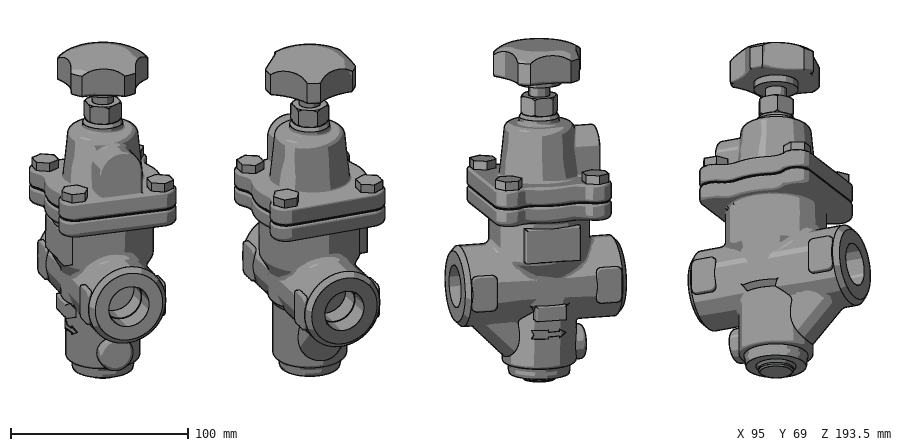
import cadquery as cq
import math


PIPE_R = 23.0
PIPE_LEFT = -49.5
PIPE_RIGHT = 45.5
PIPE_CHAMFER = 2.9
PORT_R = 12.0
PORT_STRAIGHT = 12.8
PORT_INNER_R = 11.6
PORT_DEPTH = 25.2

PAD_FACE_Y = 23.2
PAD_LENGTH = 15.0
PAD_HEIGHT = 20.5
PAD_END_GAP = 3.3
PAD_CORNER_R = 3.0
PAD_EDGE_R = 1.0

UPPER_R = 57.0 / 2
NECK_R = 23.6
LOWER_R = 42.0 / 2
UPPER_BOTTOM_Z = 15.9
NECK_TOP_Z = 7.5
NECK_BOTTOM_Z = -9.7
LOWER_TOP_Z = -13.0
BODY_BOTTOM_Z = -47.0
BODY_BOTTOM_R = 2.0
UPPER_BLEND_R = 3.3
LOWER_BLEND_R = 1.5
CONE_BLEND_R = 3.9
BODY_FLARE_R = 1.7

SEAM_TOP_Z = 5.6
SEAM_BOTTOM_Z = -17.5

CAP_R = 35.0 / 2
CAP_TAPER_Z = -51.5
CAP_BOTTOM_Z = -53.5
CAP_BOTTOM_R = 17.0
CAP_NECK_R = 18.2
CAP_NECK_Z = -49.3
PLUG_R = 22.6 / 2
PLUG_MID_R = 20.0 / 2
PLUG_END_R = 9.0
PLUG_CONE_Z = -55.0
PLUG_CHAMFER_Z = -56.0
BOTTOM_Z = -56.9

BRANCH_R = 14.0
BRANCH_AXIS_SUM = -43.7
BRANCH_START_X = -32.9
BRANCH_END_X = -8.7
BRANCH_BLEND_R = 3.9

DRAIN_R = 20.0 / 2
DRAIN_Z = -37.0
DRAIN_END_X = 25.5
DRAIN_EDGE_R = 2.3

BOLT_OFFSET = 25.5
CORNER_R = 18.0 / 2
WAIST_R = 32.9
HOLLOW_R = 10.6
LOWER_FLANGE_BOTTOM_Z = 40.6
LOWER_FLANGE_TOP_Z = 50.7
UPPER_FLANGE_BOTTOM_Z = 51.3
UPPER_FLANGE_TOP_Z = 61.7
FLANGE_OUTER_EDGE = 3.0
FLANGE_JOINT_EDGE = 1.7
FLANGE_TOP_EDGE = 1.5
GASKET_INSET = 1.0
BOLT_ACROSS_FLATS = 13.4
BOLT_HEAD_HEIGHT = 5.0

BONNET_BASE_R = 22.6
BONNET_TOP_R = 19.5
BONNET_TOP_Z = 92.0
BONNET_TOP_EDGE = 3.9
BONNET_FOOT_R = 1.5

OUTLET_R = 25.0 / 2
OUTLET_Z = 75.9
OUTLET_END_X = 32.5
OUTLET_EDGE_R = 1.2
OUTLET_FOOT_R = 1.5

COLLAR_R = 22.6 / 2
COLLAR_TOP_R = 20.0 / 2
COLLAR_STRAIGHT_Z = 95.4
COLLAR_FOOT_R = 1.5
NUT_BOTTOM_Z = 97.5
NUT_TOP_Z = 108.0
NUT_ACROSS_FLATS = 18.8
NUT_CHAMFER = 1.0
STEM_R = 6.0
HUB_DIAMETER = 25.0
HUB_BOTTOM_Z = 115.0

KNOB_R = 26.0
KNOB_BOTTOM_Z = 119.0
KNOB_RIM_Z = 132.0
KNOB_TOP_Z = 136.6
KNOB_FLAT_R = 29.6 / 2
KNOB_BOTTOM_EDGE = 1.5
KNOB_LOBES = 5
SCALLOP_R = 32.7
SCALLOP_MIN_R = 20.7

PLATE_WIDTH = 32.1
PLATE_BOTTOM_Z = 17.5
PLATE_TOP_Z = 37.0
PLATE_FACE_Y = -28.8
PLATE_BACK_Y = -21.3
BLOCK_WIDTH = 17.8
BLOCK_BOTTOM_Z = -17.6
BLOCK_TOP_Z = -9.0
BLOCK_FACE_Y = -25.0
BLOCK_BACK_Y = -17.5
PLATE_EDGE_R = 1.0
ARROW_Z = -26.5
ARROW_TAIL_X = -10.0
ARROW_NOTCH_X = -8.9
ARROW_SHAFT_X = -0.8
ARROW_HEAD_X = 5.8
ARROW_TIP_X = 10.0
ARROW_WIDE = 2.5
ARROW_NARROW = 1.4
ARROW_R = 42.8 / 2

FREE_CURVES = "not (%CIRCLE or %LINE)"


def revolved(points):
    """Solid of revolution about Z from an (r, z) outline closed along the axis."""
    first_z = points[0][1]
    last_z = points[-1][1]
    outline = [(0, first_z)] + points + [(0, last_z)]
    return cq.Workplane("XZ").polyline(outline).close().revolve(360, (0, 0), (0, 1))


def cylinder_z(radius, bottom, top):
    return cq.Workplane("XY").workplane(offset=bottom).circle(radius).extrude(top - bottom)


def cylinder_x(radius, start, end, z=0.0):
    return cq.Workplane("YZ", origin=(start, 0, z)).circle(radius).extrude(end - start)


def ring_edges(solid, z):
    """Full circles centered on the vertical axis at level z."""
    margin = 0.1
    return solid.edges(cq.selectors.BoxSelector((-margin, -margin, z - margin), (margin, margin, z + margin)))


def box_between(x_min, x_max, y_min, y_max, z_min, z_max):
    size = (x_max - x_min, y_max - y_min, z_max - z_min)
    return cq.Workplane("XY").box(*size, centered=False).translate((x_min, y_min, z_min))


def make_pipe():
    pipe = cylinder_x(PIPE_R, PIPE_LEFT, PIPE_RIGHT)
    return pipe.faces("<X or >X").edges().chamfer(PIPE_CHAMFER)


def make_main_casting():
    body = revolved([
        (LOWER_R, BODY_BOTTOM_Z),
        (LOWER_R, LOWER_TOP_Z),
        (NECK_R, NECK_BOTTOM_Z),
        (NECK_R, NECK_TOP_Z),
        (UPPER_R, UPPER_BOTTOM_Z),
        (UPPER_R, LOWER_FLANGE_BOTTOM_Z),
    ])
    body = body.faces("<Z").edges().fillet(BODY_BOTTOM_R)
    for z in (UPPER_BOTTOM_Z, NECK_TOP_Z):
        body = ring_edges(body, z).fillet(CONE_BLEND_R)
    casting = body.union(make_pipe())
    lower_zone = cq.selectors.BoxSelector(
        (0, -PIPE_R, BODY_BOTTOM_Z),
        (PIPE_RIGHT, PIPE_R, SEAM_BOTTOM_Z),
    )
    casting = casting.edges(FREE_CURVES).edges(lower_zone).fillet(LOWER_BLEND_R)
    upper_zone = cq.selectors.BoxSelector(
        (PIPE_LEFT, -UPPER_R, SEAM_TOP_Z),
        (PIPE_RIGHT, UPPER_R, LOWER_FLANGE_BOTTOM_Z),
    )
    return casting.edges(FREE_CURVES).edges(upper_zone).fillet(UPPER_BLEND_R)


def make_branch():
    """Part of the branch outside the pipe, with its blend into the pipe surface."""
    start = (BRANCH_START_X, 0, BRANCH_AXIS_SUM - BRANCH_START_X)
    length = (BRANCH_END_X - BRANCH_START_X) * math.sqrt(2)
    axis = cq.Plane(origin=start, xDir=(0, 1, 0), normal=(1, 0, -1))
    branch = cq.Workplane(axis).circle(BRANCH_R).extrude(length)
    joined = make_pipe().union(branch)
    blended = joined.edges(FREE_CURVES).fillet(BRANCH_BLEND_R)
    return blended.cut(cylinder_x(PIPE_R, PIPE_LEFT, PIPE_RIGHT))


def make_bottom_cap():
    return revolved([
        (CAP_NECK_R, BODY_BOTTOM_Z),
        (CAP_R, CAP_NECK_Z),
        (CAP_R, CAP_TAPER_Z),
        (CAP_BOTTOM_R, CAP_BOTTOM_Z),
        (PLUG_R, CAP_BOTTOM_Z),
        (PLUG_MID_R, PLUG_CONE_Z),
        (PLUG_MID_R, PLUG_CHAMFER_Z),
        (PLUG_END_R, BOTTOM_Z),
    ])


def make_drain_boss():
    boss = cylinder_x(DRAIN_R, 0, DRAIN_END_X, DRAIN_Z)
    return boss.faces(">X").edges().fillet(DRAIN_EDGE_R)


def make_pads():
    pads = cq.Workplane("XY")
    left_center = PIPE_LEFT + PAD_END_GAP + PAD_LENGTH / 2
    right_center = PIPE_RIGHT - PAD_END_GAP - PAD_LENGTH / 2
    for x in (left_center, right_center):
        bar = cq.Workplane("XY").box(PAD_LENGTH, 2 * PAD_FACE_Y, PAD_HEIGHT).translate((x, 0, 0))
        bar = bar.edges("|Y").fillet(PAD_CORNER_R)
        pads = pads.add(bar.faces("<Y or >Y").edges().fillet(PAD_EDGE_R))
    return pads.combine()


def make_port(end_x, inward):
    outer = cylinder_x(PORT_R, end_x, end_x + inward * PORT_STRAIGHT)
    return outer.union(cylinder_x(PORT_INNER_R, end_x, end_x + inward * PORT_DEPTH))


def make_plate(width, face_y, back_y, bottom, top):
    plate = box_between(-width / 2, width / 2, face_y, back_y, bottom, top)
    front_edges = plate.faces("<Y").edges("|Z or >Z")
    return front_edges.fillet(PLATE_EDGE_R)


def make_arrow():
    upper = [
        (ARROW_TAIL_X, ARROW_WIDE),
        (ARROW_SHAFT_X, ARROW_WIDE),
        (ARROW_SHAFT_X, ARROW_NARROW),
        (ARROW_HEAD_X, ARROW_NARROW),
        (ARROW_HEAD_X, ARROW_WIDE),
    ]
    lower = [(x, -z) for x, z in reversed(upper)]
    outline = upper + [(ARROW_TIP_X, 0)] + lower + [(ARROW_NOTCH_X, 0)]
    prism = cq.Workplane("XZ", origin=(0, 0, ARROW_Z)).polyline(outline).close().extrude(ARROW_R)
    ring = cylinder_z(ARROW_R, ARROW_Z - ARROW_WIDE, ARROW_Z + ARROW_WIDE)
    return prism.intersect(ring)


def hollow_center():
    """Center of the hollow arc that touches both the waist and the corner circle at +X +Y."""
    from_axis = WAIST_R + HOLLOW_R
    from_bolt = CORNER_R + HOLLOW_R
    bolt_distance = BOLT_OFFSET * math.sqrt(2)
    cosine = (from_axis**2 + bolt_distance**2 - from_bolt**2) / (2 * from_axis * bolt_distance)
    angle = math.radians(45) + math.acos(cosine)
    return from_axis * math.cos(angle), from_axis * math.sin(angle)


def flange_arc_points():
    """Tangent point on the waist, tangent point on the corner, and middle of the hollow between them."""
    hx, hy = hollow_center()
    waist_share = WAIST_R / (WAIST_R + HOLLOW_R)
    waist = (hx * waist_share, hy * waist_share)
    corner_share = CORNER_R / (CORNER_R + HOLLOW_R)
    corner = (
        BOLT_OFFSET + (hx - BOLT_OFFSET) * corner_share,
        BOLT_OFFSET + (hy - BOLT_OFFSET) * corner_share,
    )
    chord_x = (waist[0] + corner[0]) / 2 - hx
    chord_y = (waist[1] + corner[1]) / 2 - hy
    stretch = HOLLOW_R / math.hypot(chord_x, chord_y)
    hollow = (hx + chord_x * stretch, hy + chord_y * stretch)
    return waist, corner, hollow


def make_flange_outline(bottom):
    waist, corner, hollow = flange_arc_points()
    side = BOLT_OFFSET + CORNER_R
    diagonal = BOLT_OFFSET + CORNER_R * math.sqrt(0.5)
    return (
        cq.Workplane("XY").workplane(offset=bottom)
        .moveTo(side, -BOLT_OFFSET)
        .lineTo(side, BOLT_OFFSET)
        .threePointArc((diagonal, diagonal), corner)
        .threePointArc(hollow, waist)
        .threePointArc((0, WAIST_R), (-waist[0], waist[1]))
        .threePointArc((-hollow[0], hollow[1]), (-corner[0], corner[1]))
        .threePointArc((-diagonal, diagonal), (-side, BOLT_OFFSET))
        .lineTo(-side, -BOLT_OFFSET)
        .threePointArc((-diagonal, -diagonal), (-corner[0], -corner[1]))
        .threePointArc((-hollow[0], -hollow[1]), (-waist[0], -waist[1]))
        .threePointArc((0, -WAIST_R), (waist[0], -waist[1]))
        .threePointArc((hollow[0], -hollow[1]), (corner[0], -corner[1]))
        .threePointArc((diagonal, -diagonal), (side, -BOLT_OFFSET))
        .close()
    )


def make_flange(bottom, top, bottom_edge, top_edge):
    flange = make_flange_outline(bottom).extrude(top - bottom)
    flange = flange.faces("<Z").edges().fillet(bottom_edge)
    return flange.faces(">Z").edges().fillet(top_edge)


def make_gasket():
    thickness = UPPER_FLANGE_BOTTOM_Z - LOWER_FLANGE_TOP_Z
    return make_flange_outline(LOWER_FLANGE_TOP_Z).offset2D(-GASKET_INSET).extrude(thickness)


def make_bolts():
    bolts = cq.Workplane("XY")
    corner_diameter = BOLT_ACROSS_FLATS / math.cos(math.pi / 6)
    for x_sign in (-1, 1):
        for y_sign in (-1, 1):
            turn = 0 if x_sign == y_sign else 30
            head = cq.Workplane("XY").polygon(6, corner_diameter).extrude(BOLT_HEAD_HEIGHT)
            head = head.rotate((0, 0, 0), (0, 0, 1), turn)
            place = (x_sign * BOLT_OFFSET, y_sign * BOLT_OFFSET, UPPER_FLANGE_TOP_Z)
            bolts = bolts.add(head.translate(place))
    return bolts.combine()


def make_bonnet():
    bonnet = revolved([(BONNET_BASE_R, UPPER_FLANGE_TOP_Z), (BONNET_TOP_R, BONNET_TOP_Z)])
    bonnet = bonnet.faces(">Z").edges().fillet(BONNET_TOP_EDGE)
    collar = revolved([
        (COLLAR_R, BONNET_TOP_Z),
        (COLLAR_R, COLLAR_STRAIGHT_Z),
        (COLLAR_TOP_R, NUT_BOTTOM_Z),
    ])
    return ring_edges(bonnet.union(collar), BONNET_TOP_Z).fillet(COLLAR_FOOT_R)


def make_outlet_boss():
    boss = (
        cq.Workplane("YZ", origin=(0, 0, OUTLET_Z))
        .moveTo(-OUTLET_R, UPPER_FLANGE_TOP_Z - OUTLET_Z)
        .lineTo(-OUTLET_R, 0)
        .threePointArc((0, OUTLET_R), (OUTLET_R, 0))
        .lineTo(OUTLET_R, UPPER_FLANGE_TOP_Z - OUTLET_Z)
        .close()
        .extrude(OUTLET_END_X)
    )
    return boss.faces(">X").edges("not <Z").fillet(OUTLET_EDGE_R)


def outlet_seam(cover):
    """Edges where the outlet boss meets the bonnet."""
    reach = OUTLET_R + 0.2
    zone = cq.selectors.BoxSelector(
        (0, -reach, UPPER_FLANGE_TOP_Z),
        (BONNET_BASE_R, reach, OUTLET_Z + reach),
    )
    return cover.edges(zone).edges(FREE_CURVES)


def make_screw():
    corner_diameter = NUT_ACROSS_FLATS / math.cos(math.pi / 6)
    height = NUT_TOP_Z - NUT_BOTTOM_Z
    nut = cq.Workplane("XY").workplane(offset=NUT_BOTTOM_Z).polygon(6, corner_diameter).extrude(height)
    turned = cylinder_z(corner_diameter / 2, NUT_BOTTOM_Z, NUT_TOP_Z).edges().chamfer(NUT_CHAMFER)
    stem = cylinder_z(STEM_R, NUT_TOP_Z, HUB_BOTTOM_Z)
    hub = cylinder_z(HUB_DIAMETER / 2, HUB_BOTTOM_Z, KNOB_BOTTOM_Z)
    return nut.intersect(turned).union(stem).union(hub)


def make_knob():
    drop = KNOB_TOP_Z - KNOB_RIM_Z
    reach = KNOB_R - KNOB_FLAT_R
    dome_r = (reach**2 + drop**2) / (2 * drop)
    half_angle = math.asin(reach / dome_r) / 2
    dome_mid = (
        KNOB_FLAT_R + dome_r * math.sin(half_angle),
        KNOB_TOP_Z - dome_r * (1 - math.cos(half_angle)),
    )
    knob = (
        cq.Workplane("XZ")
        .moveTo(0, KNOB_BOTTOM_Z)
        .lineTo(KNOB_R, KNOB_BOTTOM_Z)
        .lineTo(KNOB_R, KNOB_RIM_Z)
        .threePointArc(dome_mid, (KNOB_FLAT_R, KNOB_TOP_Z))
        .lineTo(0, KNOB_TOP_Z)
        .close()
        .revolve(360, (0, 0), (0, 1))
    )
    scallop_distance = SCALLOP_MIN_R + SCALLOP_R
    for index in range(KNOB_LOBES):
        angle = math.radians(-90 + index * 360 / KNOB_LOBES)
        center = (scallop_distance * math.cos(angle), scallop_distance * math.sin(angle), 0)
        knob = knob.cut(cylinder_z(SCALLOP_R, KNOB_BOTTOM_Z, KNOB_TOP_Z).translate(center))
    return knob.faces("<Z").edges().fillet(KNOB_BOTTOM_EDGE)


lower_flange = make_flange(LOWER_FLANGE_BOTTOM_Z, LOWER_FLANGE_TOP_Z, FLANGE_OUTER_EDGE, FLANGE_JOINT_EDGE)
casting = make_main_casting().union(make_branch()).union(lower_flange)
casting = ring_edges(casting, LOWER_FLANGE_BOTTOM_Z).fillet(BODY_FLARE_R)
casting = casting.union(make_drain_boss())
casting = casting.union(make_pads())
casting = casting.union(make_plate(PLATE_WIDTH, PLATE_FACE_Y, PLATE_BACK_Y, PLATE_BOTTOM_Z, PLATE_TOP_Z))
casting = casting.union(make_plate(BLOCK_WIDTH, BLOCK_FACE_Y, BLOCK_BACK_Y, BLOCK_BOTTOM_Z, BLOCK_TOP_Z))
casting = casting.union(make_arrow())
casting = casting.union(make_bottom_cap())
casting = casting.cut(make_port(PIPE_LEFT, 1)).cut(make_port(PIPE_RIGHT, -1))

upper_flange = make_flange(UPPER_FLANGE_BOTTOM_Z, UPPER_FLANGE_TOP_Z, FLANGE_JOINT_EDGE, FLANGE_TOP_EDGE)
cover = upper_flange.union(make_bonnet())
cover = ring_edges(cover, UPPER_FLANGE_TOP_Z).fillet(BONNET_FOOT_R)
cover = cover.union(make_outlet_boss())
cover = outlet_seam(cover).fillet(OUTLET_FOOT_R)

result = casting.union(make_gasket()).union(cover).union(make_bolts())
result = result.union(make_screw()).union(make_knob())